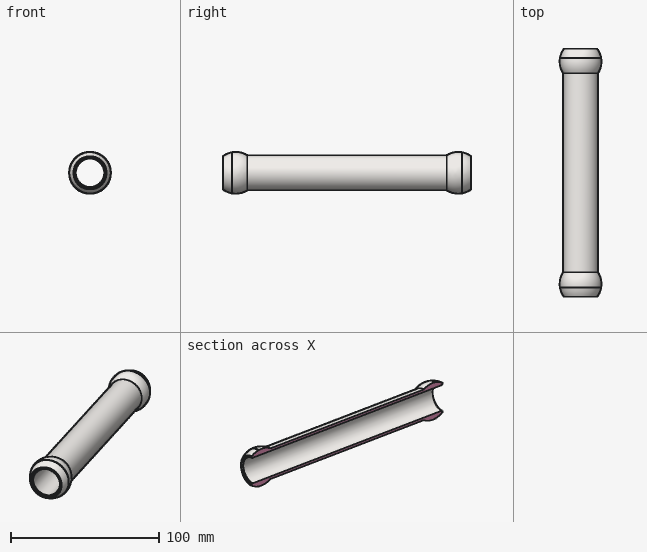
import cadquery as cq
import math

length = 167.5
tube_radius = 23.8 / 2
bore_radius = 19.1 / 2
half_length = length / 2

bead_radius = 14.2
bead_setback = 8.7
bead_centre = half_length - bead_setback

groove_setback = 6.2
groove_width = 0.3
groove_depth = 0.08

mouth_chamfer = 0.8


def bead_radius_at(y):
    """Radius of the bead surface at position y along the axis."""
    return math.sqrt(bead_radius**2 - (y - bead_centre) ** 2)


bead_start = bead_centre - math.sqrt(bead_radius**2 - tube_radius**2)
groove_inner = half_length - groove_setback - groove_width / 2
groove_outer = groove_inner + groove_width
groove_floor = bead_radius_at(groove_outer) - groove_depth
nose_middle = (groove_outer + half_length) / 2

bead = (
    cq.Workplane("XY")
    .moveTo(0, bead_start)
    .lineTo(tube_radius, bead_start)
    .threePointArc((bead_radius, bead_centre), (bead_radius_at(groove_inner), groove_inner))
    .lineTo(groove_floor, groove_inner)
    .lineTo(groove_floor, groove_outer)
    .lineTo(bead_radius_at(groove_outer), groove_outer)
    .threePointArc((bead_radius_at(nose_middle), nose_middle), (bead_radius_at(half_length), half_length))
    .lineTo(0, half_length)
    .close()
    .revolve(360, (0, 0, 0), (0, 1, 0))
)

shank = cq.Workplane("XZ", origin=(0, bead_start, 0)).circle(tube_radius).extrude(2 * bead_start)
outer_body = shank.union(bead).union(bead.mirror("XZ"))

bore = cq.Workplane("XZ", origin=(0, half_length, 0)).circle(bore_radius).extrude(length)
tube = outer_body.cut(bore)
result = tube.edges(cq.selectors.RadiusNthSelector(0)).chamfer(mouth_chamfer)